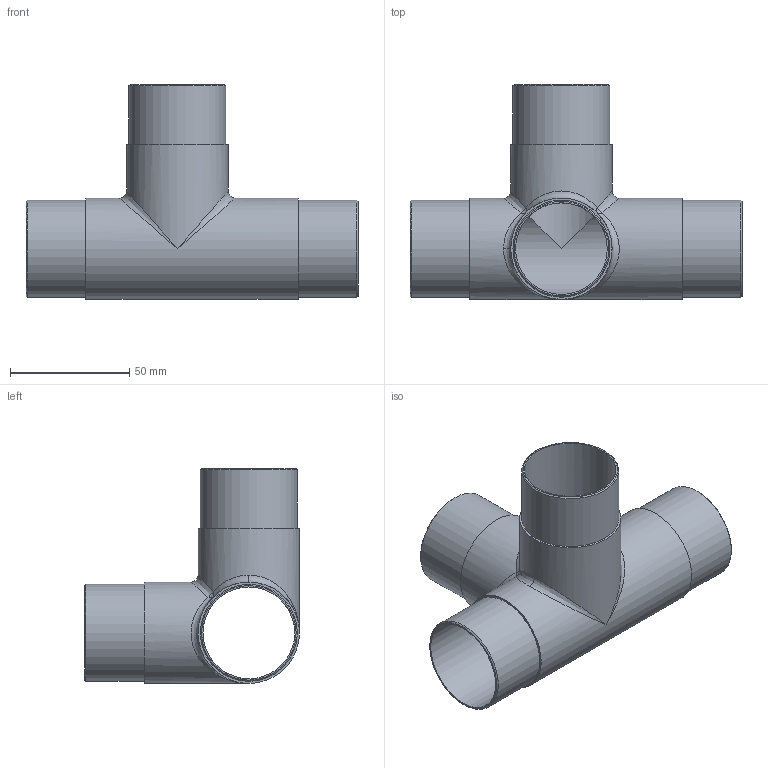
import cadquery as cq

body_radius = 21.2
spigot_radius = 20.3
bore_radius = 19.2
spigot_length = 25.0
end_chamfer = 0.5

left_reach = 63.4
right_reach = 75.6
overall_height = 90.0
branch_reach = overall_height - body_radius

corner_radius = 3.0

seam_turn = 180

branch_directions = [cq.Vector(0, 1, 0), cq.Vector(0, 0, 1)]
tubes = [
    (cq.Vector(-1, 0, 0), left_reach),
    (cq.Vector(1, 0, 0), right_reach),
]
tubes += [(direction, branch_reach) for direction in branch_directions]


def rod(radius, start, length, direction):
    """Solid cylinder starting the given distance along a direction from the common centre."""
    cylinder = cq.Solid.makeCylinder(radius, length, direction * start, direction)
    return cq.Workplane(obj=cylinder.rotate(cq.Vector(0, 0, 0), direction, seam_turn))


def make_body():
    """Thick middle of the fitting: a run along X, branches along Y and Z, rounded where they meet."""
    run_start = -(left_reach - spigot_length)
    run_length = left_reach + right_reach - 2 * spigot_length
    body = rod(body_radius, run_start, run_length, cq.Vector(1, 0, 0))
    for direction in branch_directions:
        body = body.union(rod(body_radius, 0, branch_reach - spigot_length, direction))
    return body.edges("%ELLIPSE").fillet(corner_radius)


def make_spigot(direction, reach):
    """Slimmer end of a tube, chamfered around its open rim."""
    spigot = rod(spigot_radius, reach - spigot_length, spigot_length, direction)
    return spigot.faces(cq.selectors.DirectionMinMaxSelector(direction)).chamfer(end_chamfer)


def make_fitting():
    """Body with a spigot on every tube, bored through along all four tubes."""
    fitting = make_body()
    for direction, reach in tubes:
        fitting = fitting.union(make_spigot(direction, reach))
    for direction, reach in tubes:
        fitting = fitting.cut(rod(bore_radius, 0, reach, direction))
    return fitting.solids()


result = make_fitting()